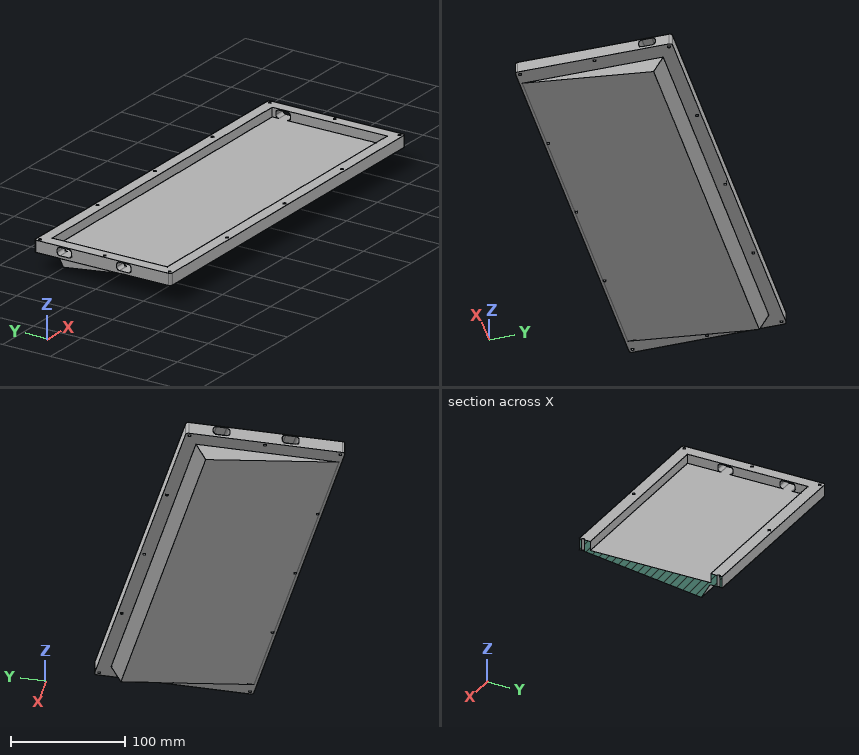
import cadquery as cq

length = 378.0
width = 143.0
total_height = 27.0
tray_height = 11.7
corner_radius = 2.5
side_rim = 11.5
end_rim = 11.7
pocket_depth = 9.0

foot_height = total_height - tray_height
foot_length = 347.8
foot_back_y = 59.5
foot_tip_y = 50.5
foot_front_y = -68.8

hole_diameter = 2.4
hole_inset = 3.8
holes_per_long_side = 5

slot_width = 15.0
slot_height = 8.0
slot_corner_radius = 3.0
left_slot_centers_y = (39.7, -22.3)
right_slot_center_y = 48.8


def make_tray():
    tray = cq.Workplane("XY").box(length, width, tray_height, centered=(True, True, False))
    tray = tray.edges("|Z").fillet(corner_radius)
    pocket = (
        cq.Workplane("XY")
        .workplane(offset=tray_height - pocket_depth)
        .rect(length - 2 * end_rim, width - 2 * side_rim)
        .extrude(pocket_depth)
    )
    return tray.cut(pocket)


def make_foot():
    profile = [(foot_front_y, 0), (foot_tip_y, -foot_height), (foot_back_y, 0)]
    return cq.Workplane("YZ").polyline(profile).close().extrude(foot_length / 2, both=True)


def make_screw_holes():
    x_end = length / 2 - hole_inset
    y_side = width / 2 - hole_inset
    x_step = 2 * x_end / (holes_per_long_side - 1)
    points = [(-x_end, 0), (x_end, 0)]
    for i in range(holes_per_long_side):
        x = -x_end + i * x_step
        points += [(x, -y_side), (x, y_side)]
    return (
        cq.Workplane("XY")
        .workplane(offset=-foot_height)
        .pushPoints(points)
        .circle(hole_diameter / 2)
        .extrude(total_height)
    )


def make_wall_slot(side, center_y):
    """Opening through one end wall; side is -1 for the -X wall and 1 for the +X wall."""
    slot = cq.Workplane("XY").box(end_rim, slot_width, slot_height).edges("|X").fillet(slot_corner_radius)
    center_z = tray_height - pocket_depth + slot_height / 2
    return slot.translate((side * (length - end_rim) / 2, center_y, center_z))


result = make_tray().union(make_foot()).cut(make_screw_holes())
for slot_y in left_slot_centers_y:
    result = result.cut(make_wall_slot(-1, slot_y))
result = result.cut(make_wall_slot(1, right_slot_center_y))